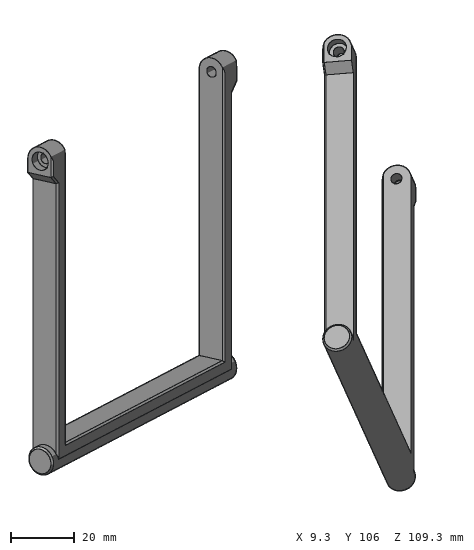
import cadquery as cq

overall_length = 106.0
overall_height = 109.3
bar_diameter = 9.3
arm_thickness = 5.0
eye_overhang = 3.0
eye_straight_height = 9.3
edge_chamfer = 0.6
bar_end_chamfer = 0.6
pin_hole_diameter = 3.5
counterbore_diameter = 6.0
counterbore_depth = 3.1

bar_radius = bar_diameter / 2
half_length = overall_length / 2
top_z = overall_height - bar_radius
eye_z = top_z - bar_radius
arm_outer_y = half_length - eye_overhang
arm_inner_y = arm_outer_y - arm_thickness
slope_top_z = top_z - eye_straight_height
slope_bottom_z = slope_top_z - eye_overhang


def y_cylinder(diameter, start_y, length, z=0):
    """Cylinder along +Y from start_y, centred on X = 0."""
    base = cq.Workplane("XZ", origin=(0, start_y, z))
    return base.circle(diameter / 2).extrude(-length)


def make_frame():
    """U-shaped frame with outward eyes and bevelled +X edges."""
    right_half = [
        (arm_outer_y, 0),
        (arm_outer_y, slope_bottom_z),
        (half_length, slope_top_z),
        (half_length, top_z),
        (arm_inner_y, top_z),
        (arm_inner_y, bar_radius),
    ]
    left_half = [(-y, z) for y, z in reversed(right_half)]
    outline = cq.Workplane("YZ").polyline(right_half + left_half).close()
    frame = outline.extrude(bar_radius, both=True)
    return frame.faces(">X").edges().chamfer(edge_chamfer)


def round_eye_tops(frame):
    """Trim the arm tops to half-cylinders about the eye axis."""
    envelope = cq.Workplane("XY").box(
        bar_diameter, overall_length, eye_z, centered=(True, True, False)
    )
    envelope = envelope.union(y_cylinder(bar_diameter, -half_length, overall_length, eye_z))
    return frame.intersect(envelope)


def make_bar():
    """Round bottom bar with chamfered ends."""
    bar = y_cylinder(bar_diameter, -half_length, overall_length)
    return bar.faces("<Y or >Y").chamfer(bar_end_chamfer)


def cut_eye_holes(body):
    """Pin holes through both eyes, counterbored from the outer sides."""
    body = body.cut(y_cylinder(pin_hole_diameter, -half_length, overall_length, eye_z))
    for start_y in (-half_length, half_length - counterbore_depth):
        body = body.cut(y_cylinder(counterbore_diameter, start_y, counterbore_depth, eye_z))
    return body


frame = round_eye_tops(make_frame())
result = cut_eye_holes(frame.union(make_bar()))